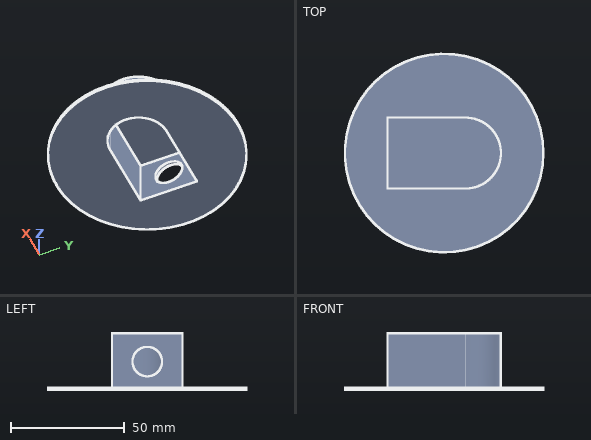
import cadquery as cq

plate_diameter = 87.5
plate_thickness = 1.0

total_height = 25.0
housing_length = 50.0
housing_width = 31.25
wall_thickness = 2.0

opening_diameter = 13.0
opening_height = total_height / 2

flat_end_x = -housing_length / 2


def d_prism(inset, height):
    """D-shaped prism from Z = 0, its outline set inside the housing's by inset."""
    radius = housing_width / 2 - inset
    start_x = flat_end_x + inset
    arc_center_x = housing_length / 2 - housing_width / 2
    return (
        cq.Workplane("XY")
        .moveTo(start_x, -radius)
        .lineTo(arc_center_x, -radius)
        .threePointArc((arc_center_x + radius, 0), (arc_center_x, radius))
        .lineTo(start_x, radius)
        .close()
        .extrude(height)
    )


def base_plate():
    return cq.Workplane("XY").circle(plate_diameter / 2).extrude(plate_thickness)


def end_wall_opening():
    """Cylinder along X that reaches from the flat end into the cavity."""
    return (
        cq.Workplane("YZ", origin=(flat_end_x, 0, opening_height))
        .circle(opening_diameter / 2)
        .extrude(2 * wall_thickness)
    )


housing = d_prism(0, total_height)

cavity = d_prism(wall_thickness, total_height - wall_thickness)

result = base_plate().union(housing).cut(cavity).cut(end_wall_opening())